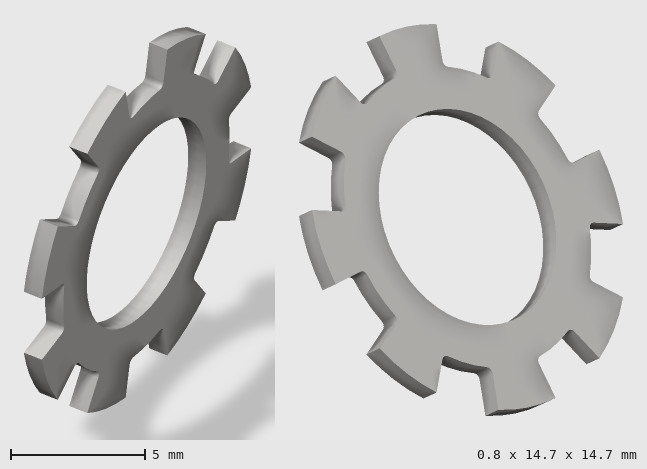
import cadquery as cq
import math

width_across_teeth = 14.71
thickness = 0.8
bore_diameter = 8.4
root_radius = 5.85
root_fillet = 0.24
tooth_count = 8

pitch_angle = 360.0 / tooth_count
half_gap_angle = pitch_angle / 4.0

tip_radius = width_across_teeth / 2.0 / math.cos(math.radians(half_gap_angle))


def polar_point(radius, angle):
    """Point at an angle in degrees from the Y axis."""
    turn = math.radians(angle)
    return (radius * math.cos(turn), radius * math.sin(turn))


def rim_outline():
    """Closed outline alternating between root arcs and tooth tip arcs."""
    outline = cq.Workplane("YZ").moveTo(*polar_point(root_radius, -half_gap_angle))
    for index in range(tooth_count):
        gap_angle = index * pitch_angle
        tooth_start = gap_angle + half_gap_angle
        tooth_middle = gap_angle + pitch_angle / 2.0
        tooth_end = gap_angle + pitch_angle - half_gap_angle
        outline = outline.threePointArc(
            polar_point(root_radius, gap_angle), polar_point(root_radius, tooth_start)
        )
        outline = outline.lineTo(*polar_point(tip_radius, tooth_start))
        outline = outline.threePointArc(
            polar_point(tip_radius, tooth_middle), polar_point(tip_radius, tooth_end)
        )
        outline = outline.lineTo(*polar_point(root_radius, tooth_end))
    return outline.close()


def root_corners(body):
    """Edges along the thickness where the flanks meet the root arcs."""
    middle_radius = (root_radius + tip_radius) / 2.0

    def is_at_root(edge):
        centre = edge.Center()
        return math.hypot(centre.y, centre.z) < middle_radius

    return body.edges("|X").filter(is_at_root)


toothed_disc = rim_outline().extrude(thickness / 2.0, both=True)
toothed_disc = root_corners(toothed_disc).fillet(root_fillet)

bore = cq.Workplane("YZ").circle(bore_diameter / 2.0).extrude(thickness / 2.0, both=True)
result = toothed_disc.cut(bore)